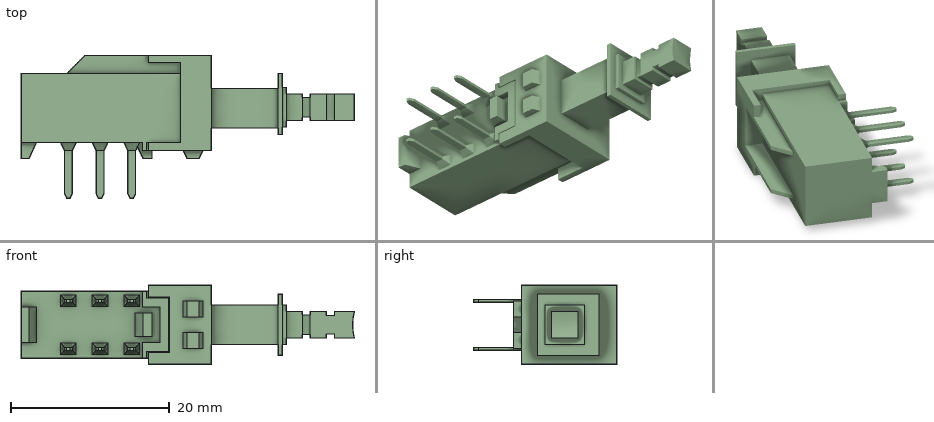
import cadquery as cq


BODY_LENGTH = 20.1
BODY_WIDTH = 8.5
BODY_FRONT = 1.0
BODY_BACK = 9.75

COVER_END = 24.0
COVER_DEPTH = 12.0
COVER_WIDTH = 10.0
ARM_START = 16.05
BACK_ARM_THICKNESS = 0.9
FRONT_SLOT_END = 18.75
FRONT_SLOT_WIDTH = 7.0

RIB_THICKNESS = 0.55
RIB_OUTER_SPAN = 6.7
RIB_START = 5.8

FRAME_START = 15.3
FRAME_SHOULDER_END = 15.8
FRAME_END = 18.55
FRAME_WIDTH = 6.7
FRAME_WINDOW_END = 17.5

FOOT_WIDTH = 4.45
FOOT_BASE_LENGTH = 1.95
FOOT_TIP_LENGTH = 1.0
STANDOFF = 1.0
LATCH_WIDTH = 3.0
LATCH_BASE_START = 14.35
LATCH_TIP_START = 15.37
LATCH_END = 16.5
PEG_START = 20.4
PEG_LENGTH = 2.5
PEG_TAPER = 0.5
PEG_WIDTH = 2.0
PEG_SPACING = 3.95

PIN_FIRST = 5.95
PIN_PITCH = 4.0
PIN_COLUMNS = 3
PIN_ROW_SPACING = 6.05
PIN_WIDTH = 1.0
PIN_THICKNESS = 0.38
PIN_BASE_WIDTH = 1.97
PIN_BASE_THICKNESS = 1.45
PIN_END = -6.0
PIN_TIP_LENGTH = 0.6
PIN_TIP_WIDTH = 0.4

SLEEVE_SIZE = 5.0
SLEEVE_Y = 5.35
FLANGE_START = 32.4
FLANGE_THICKNESS = 0.55
FLANGE_SIZE = 7.73
FLANGE_Y = 5.9
STEM_Y = 5.45
COLLAR_END = 33.45
STEM_SIZE = 3.35
NECK_START = 35.45
NECK_END = 36.4
NECK_SIZE = 2.48
NOTCH_START = 38.47
NOTCH_END = 39.5
NOTCH_DEPTH = 0.5
STEM_END = 42.0
END_HOLLOW = 0.2


def block(x_span, y_span, z_span):
    """Box between two corners, given as (low, high) pairs."""
    lows, highs = zip(x_span, y_span, z_span)
    size = [high - low for low, high in zip(lows, highs)]
    return cq.Workplane("XY").box(*size, centered=False).translate(lows)


def centred(width, middle=0):
    """(low, high) pair of a width placed about its middle."""
    return middle - width / 2, middle + width / 2


def prism(points, width, middle_z=0):
    """XY outline extruded along Z, centred on middle_z."""
    outline = cq.Workplane("XY", origin=(0, 0, middle_z)).polyline(points).close()
    return outline.extrude(width / 2, both=True)


def frustum(x, z, start_y, start_size, end_y, end_size):
    """Rectangular (X, Z) section at start_y tapering to another at end_y, towards -Y."""
    return (
        cq.Workplane("XZ", origin=(x, start_y, z))
        .rect(*start_size)
        .workplane(offset=start_y - end_y)
        .rect(*end_size)
        .loft(ruled=True)
    )


def make_body():
    body = block((0, BODY_LENGTH), (BODY_FRONT, BODY_BACK), centred(BODY_WIDTH))
    rib_slope = COVER_DEPTH - BODY_BACK
    rib_outline = [
        (RIB_START, BODY_BACK),
        (RIB_START + rib_slope, COVER_DEPTH),
        (BODY_LENGTH, COVER_DEPTH),
        (BODY_LENGTH, BODY_BACK),
    ]
    for side in (-1, 1):
        body = body.union(prism(rib_outline, RIB_THICKNESS, side * (RIB_OUTER_SPAN - RIB_THICKNESS) / 2))
    return body


def make_latch_frame():
    depth = (0, BODY_FRONT)
    shoulder = block((FRAME_START, FRAME_SHOULDER_END), depth, centred(BODY_WIDTH))
    tongue = block((FRAME_START, FRAME_END), depth, centred(FRAME_WIDTH))
    window = block((FRAME_START, FRAME_WINDOW_END), depth, centred(FOOT_WIDTH))
    latch = prism(
        [
            (LATCH_BASE_START, BODY_FRONT),
            (LATCH_TIP_START, -STANDOFF),
            (LATCH_END, -STANDOFF),
            (LATCH_END, BODY_FRONT),
        ],
        LATCH_WIDTH,
    )
    return shoulder.union(tongue).cut(window).union(latch)


def make_foot():
    return prism(
        [(0, BODY_FRONT), (0, -STANDOFF), (FOOT_TIP_LENGTH, -STANDOFF), (FOOT_BASE_LENGTH, BODY_FRONT)],
        FOOT_WIDTH,
    )


def make_cover():
    across = centred(COVER_WIDTH)
    cover = block((BODY_LENGTH, COVER_END), (0, COVER_DEPTH), across)
    front_plate = block((ARM_START, BODY_LENGTH), (0, BODY_FRONT), across)
    front_slot = block((ARM_START, FRONT_SLOT_END), (0, BODY_FRONT), centred(FRONT_SLOT_WIDTH))
    back = (COVER_DEPTH - BACK_ARM_THICKNESS, COVER_DEPTH)
    back_plate = block((ARM_START, BODY_LENGTH), back, across)
    back_slot = block((ARM_START, BODY_LENGTH), back, centred(RIB_OUTER_SPAN))
    cover = cover.union(front_plate.cut(front_slot)).union(back_plate.cut(back_slot))
    peg_outline = [
        (PEG_START, 0),
        (PEG_START + PEG_TAPER, -STANDOFF),
        (PEG_START + PEG_LENGTH - PEG_TAPER, -STANDOFF),
        (PEG_START + PEG_LENGTH, 0),
    ]
    for side in (-1, 1):
        cover = cover.union(prism(peg_outline, PEG_WIDTH, side * PEG_SPACING / 2))
    return cover


def make_terminal(x, z):
    base = (PIN_BASE_WIDTH, PIN_BASE_THICKNESS)
    shank = (PIN_WIDTH, PIN_THICKNESS)
    tip = (PIN_TIP_WIDTH, PIN_THICKNESS)
    tip_start = PIN_END + PIN_TIP_LENGTH
    return (
        frustum(x, z, BODY_FRONT, base, 0, shank)
        .union(block(centred(PIN_WIDTH, x), (tip_start, 0), centred(PIN_THICKNESS, z)))
        .union(frustum(x, z, tip_start, shank, PIN_END, tip))
    )


def make_plunger():
    def square_bar(start, end, size, middle_y):
        return block((start, end), centred(size, middle_y), centred(size))

    flange_end = FLANGE_START + FLANGE_THICKNESS
    plunger = (
        square_bar(COVER_END, FLANGE_START, SLEEVE_SIZE, SLEEVE_Y)
        .union(square_bar(FLANGE_START, flange_end, FLANGE_SIZE, FLANGE_Y))
        .union(square_bar(flange_end, COLLAR_END, SLEEVE_SIZE, STEM_Y))
        .union(square_bar(COLLAR_END, NECK_START, STEM_SIZE, STEM_Y))
        .union(square_bar(NECK_START, NECK_END, NECK_SIZE, STEM_Y))
        .union(square_bar(NECK_END, STEM_END, STEM_SIZE, STEM_Y))
    )
    notch_z = (STEM_SIZE - NOTCH_DEPTH) / 2
    for side in (-1, 1):
        notch = block(
            (NOTCH_START, NOTCH_END), centred(STEM_SIZE, STEM_Y), centred(NOTCH_DEPTH, side * notch_z)
        )
        plunger = plunger.cut(notch)
    hollow = (
        cq.Workplane("XZ", origin=(0, STEM_Y, 0))
        .moveTo(STEM_END, -STEM_SIZE / 2)
        .threePointArc((STEM_END - END_HOLLOW, 0), (STEM_END, STEM_SIZE / 2))
        .close()
        .extrude(STEM_SIZE / 2, both=True)
    )
    return plunger.cut(hollow)


result = make_body().union(make_latch_frame()).union(make_foot()).union(make_cover()).union(make_plunger())
for column in range(PIN_COLUMNS):
    for row_side in (-1, 1):
        terminal = make_terminal(PIN_FIRST + column * PIN_PITCH, row_side * PIN_ROW_SPACING / 2)
        result = result.union(terminal)